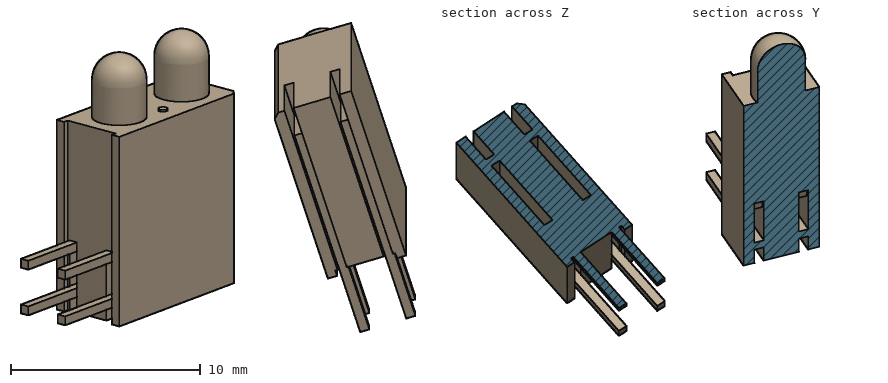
import cadquery as cq

body_width = 4.32
body_depth = 9.66
body_height = 10.54
corner_chamfer = 0.3

rim_width = 0.51
recess_depth = 0.3

overall_height = 14.05
lens_diameter = 2.9
lens_pitch = 5.08
rear_lens_y = -2.03
lens_positions_y = [rear_lens_y, rear_lens_y - lens_pitch]

pip_diameter = 0.5
pip_height = 0.1
pip_x = 1.08
pip_y = -body_depth / 2

overall_depth = 13.33
lead_pitch = 2.54
lead_width = 0.51
lead_thickness = 0.5
lower_lead_bottom = 0.87
lead_bottoms = [lower_lead_bottom, lower_lead_bottom + lead_pitch]
slot_height = lead_bottoms[-1] + lead_thickness
lead_positions_x = [-lead_pitch / 2, lead_pitch / 2]


def block(x_center, width, y_front, y_rear, z_bottom, z_top):
    """Box centred on x_center and bounded by the given y and z limits."""
    size = (width, y_rear - y_front, z_top - z_bottom)
    box = cq.Workplane("XY").box(*size, centered=(True, False, False))
    return box.translate((x_center, y_front, z_bottom))


def make_housing():
    """Housing with one chamfered rear corner, a front recess and two lead slots."""
    housing = block(0, body_width, -body_depth, 0, 0, body_height)
    housing = housing.edges("|Z and >X and >Y").chamfer(corner_chamfer)
    recess_width = body_width - 2 * rim_width
    housing = housing.cut(block(0, recess_width, -body_depth, recess_depth - body_depth, 0, body_height))
    for x in lead_positions_x:
        housing = housing.cut(block(x, lead_width, -body_depth, 0, 0, slot_height))
    return housing


def make_lens(y):
    """Cylindrical lens with a hemispherical top, standing on the housing."""
    radius = lens_diameter / 2
    dome_base = overall_height - radius
    barrel = cq.Workplane("XY", origin=(0, y, body_height)).circle(radius).extrude(dome_base - body_height)
    dome = cq.Workplane("XY", origin=(0, y, dome_base)).sphere(radius)
    return barrel.union(dome)


def make_lead(x, leg_y, z_bottom):
    """Horizontal lead with an upright leg that reaches the slot ceiling below its LED."""
    leg_front = leg_y - lead_thickness / 2
    leg_rear = leg_y + lead_thickness / 2
    bar = block(x, lead_width, -overall_depth, leg_rear, z_bottom, z_bottom + lead_thickness)
    leg = block(x, lead_width, leg_front, leg_rear, z_bottom, slot_height)
    return bar.union(leg)


def make_pip():
    """Low round pip on the top face."""
    return cq.Workplane("XY", origin=(pip_x, pip_y, body_height)).circle(pip_diameter / 2).extrude(pip_height)


result = make_housing().union(make_pip())
for lens_y in lens_positions_y:
    result = result.union(make_lens(lens_y))

for lens_y, lead_bottom in zip(lens_positions_y, lead_bottoms):
    for lead_x in lead_positions_x:
        result = result.union(make_lead(lead_x, lens_y, lead_bottom))